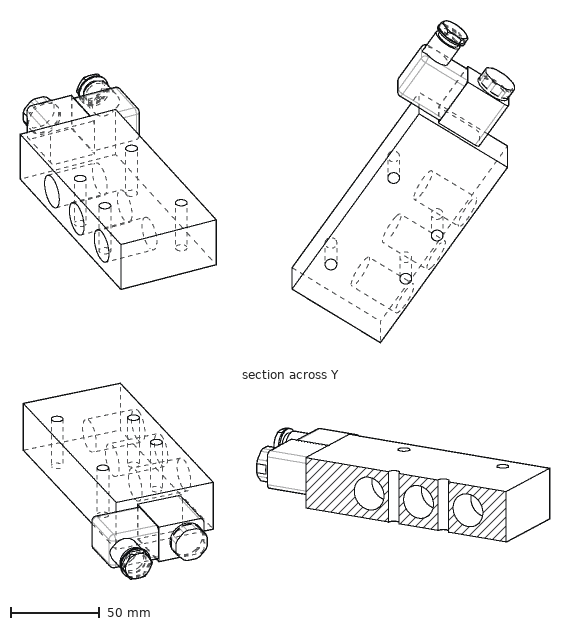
import cadquery as cq
import math


block_length = 130.0
block_width = 60.0
block_height = 30.0

port_diameter = 19.0
port_depth = 30.0
port_pitch = 32.0
middle_port_x = 73.0

mount_hole_diameter = 6.6
mount_hole_y = 20.0
back_hole_spacing = 2 * port_pitch
front_hole_spacing = port_pitch

coil_length = 30.0
coil_height = 22.2
coil_front_y = -11.0
coil_back_y = 16.8
housing_fillet = 2.9

connector_inset = 0.5
connector_end_y = 46.2
connector_length = coil_length - 2 * connector_inset
connector_height = coil_height - 2 * connector_inset

knob_diameter = 20.0
knob_length = 7.7
knob_across_flats = 19.3
knob_flat_length = 6.0
knob_flat_count = 8

gland_y = 38.0
gland_tip_x = -49.0
barrel_diameter = 16.1
barrel_end_x = -41.5
neck_diameter = 12.9
nut_length = 4.5
nut_side_count = 6
nut_across_flats = 15.8
nut_corner_diameter = nut_across_flats / math.cos(math.pi / nut_side_count)
nut_flange_thickness = 0.9
nut_chamfer_angle = 30


def rod(start_x, end_x, diameter, y=0):
    """Round bar along X between two stations."""
    return (
        cq.Workplane("YZ", origin=(start_x, y, 0))
        .circle(diameter / 2)
        .extrude(end_x - start_x)
    )


def make_block():
    """Rectangular block with three blind ports and four through holes."""
    centre = (block_length / 2, 0, 0)
    block = cq.Workplane("XY").box(block_length, block_width, block_height).translate(centre)

    port_positions = [(middle_port_x + step * port_pitch, 0) for step in (-1, 0, 1)]
    ports = (
        cq.Workplane("XZ", origin=(0, -block_width / 2, 0))
        .pushPoints(port_positions)
        .circle(port_diameter / 2)
        .extrude(-port_depth)
    )

    hole_positions = []
    for y, spacing in ((mount_hole_y, back_hole_spacing), (-mount_hole_y, front_hole_spacing)):
        for side in (-1, 1):
            hole_positions.append((middle_port_x + side * spacing / 2, y))
    mount_holes = (
        cq.Workplane("XY", origin=(0, 0, -block_height / 2))
        .pushPoints(hole_positions)
        .circle(mount_hole_diameter / 2)
        .extrude(block_height)
    )
    return block.cut(ports).cut(mount_holes)


def make_coil():
    """Coil housing with its two long front edges rounded."""
    width = coil_back_y - coil_front_y
    centre = (-coil_length / 2, (coil_front_y + coil_back_y) / 2, 0)
    coil = cq.Workplane("XY").box(coil_length, width, coil_height)
    return coil.faces("<Y").edges("|X").fillet(housing_fillet).translate(centre)


def make_connector():
    """Connector housing, rounded along its length and around its free end."""
    width = connector_end_y - coil_back_y
    centre = (-coil_length / 2, (coil_back_y + connector_end_y) / 2, 0)
    connector = cq.Workplane("XY").box(connector_length, width, connector_height)
    return connector.edges("|Y or >Y").fillet(housing_fillet).translate(centre)


def make_knob():
    """Round knob with flats around its outer end."""
    tip_x = -coil_length - knob_length
    flats_end_x = tip_x + knob_flat_length
    corner_diameter = knob_across_flats / math.cos(math.pi / knob_flat_count)
    prism = (
        cq.Workplane("YZ", origin=(tip_x, 0, 0))
        .transformed(rotate=(0, 0, 180 / knob_flat_count))
        .polygon(knob_flat_count, corner_diameter)
        .extrude(knob_flat_length)
    )
    grip = rod(tip_x, flats_end_x, knob_diameter).intersect(prism)
    return grip.union(rod(flats_end_x, -coil_length, knob_diameter))


def make_nut():
    """Hexagon nut, conically chamfered at the tip, with a thin round flange."""
    hexagon_length = nut_length - nut_flange_thickness
    hexagon = (
        cq.Workplane("YZ", origin=(gland_tip_x, gland_y, 0))
        .polygon(nut_side_count, nut_corner_diameter)
        .extrude(hexagon_length)
    )
    chamfer_width = (nut_corner_diameter - nut_across_flats) / 2
    chamfer_length = chamfer_width * math.tan(math.radians(nut_chamfer_angle))
    chamfered_rod = (
        rod(gland_tip_x, gland_tip_x + nut_length, nut_corner_diameter, gland_y)
        .faces("<X")
        .chamfer(chamfer_length, chamfer_width)
    )
    flange_x = gland_tip_x + hexagon_length
    flange = rod(flange_x, flange_x + nut_flange_thickness, nut_corner_diameter, gland_y)
    return hexagon.intersect(chamfered_rod).union(flange)


def make_gland():
    """Cable gland: barrel out of the connector, narrower neck and nut."""
    barrel = rod(barrel_end_x, -coil_length / 2, barrel_diameter, gland_y)
    neck = rod(gland_tip_x + nut_length, barrel_end_x, neck_diameter, gland_y)
    return barrel.union(neck).union(make_nut())


def make_solenoid():
    """Solenoid in one piece: coil, connector, knob and cable gland."""
    return make_coil().union(make_connector()).union(make_knob()).union(make_gland())


valve_block = make_block()
solenoid = make_solenoid()
result = cq.Compound.makeCompound([valve_block.val(), solenoid.val()])